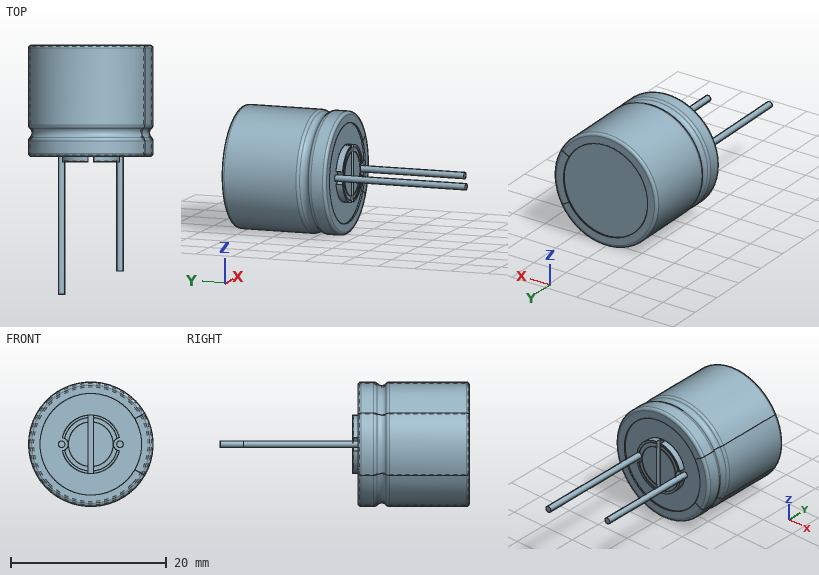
import cadquery as cq
import math


can_radius = 8.0
overall_height = 15.0
standoff_height = 0.7
sleeve_thickness = 0.2
edge_fillet = 0.4
sleeve_opening_radius = 6.53
front_y = standoff_height
back_y = overall_height

crimp_distance_from_front = 3.03
crimp_center_y = front_y + crimp_distance_from_front
crimp_half_width = 1.02
crimp_depth = 0.45
crimp_shoulder_share = 0.42
crimp_angle = 2 * math.atan(crimp_depth / crimp_half_width)
crimp_radii_sum = crimp_half_width / math.sin(crimp_angle)
crimp_shoulder_radius = crimp_shoulder_share * crimp_radii_sum

stripe_angle = 60.0

seal_y = front_y + sleeve_thickness
pad_radius = 3.75
pad_groove_outer_radius = 3.45
pad_groove_inner_radius = 2.87
pad_groove_depth = 0.1
slot_width = 0.7
slot_floor_y = front_y
notch_radius = 0.85

lead_pitch = 7.5
lead_diameter = 0.85
long_lead_tip_y = -17.0
short_lead_tip_y = -14.0


def cylinder(radius, y_start, y_end, x=0.0):
    """Cylinder along Y between two Y positions."""
    return (
        cq.Workplane("XZ", origin=(x, y_start, 0))
        .circle(radius)
        .extrude(y_start - y_end)
    )


def arc_point(center, radius, angle):
    """Point on a circle in the XY plane, with the angle in radians from +X."""
    return (center[0] + radius * math.cos(angle), center[1] + radius * math.sin(angle))


def can_profile(inset):
    """Closed half section of the crimped can, moved inwards from the outer skin by inset."""
    wall = can_radius - inset
    front = front_y + inset
    back = back_y - inset
    fillet = edge_fillet - inset
    shoulder = crimp_shoulder_radius - inset

    front_fillet_center = (wall - fillet, front + fillet)
    back_fillet_center = (wall - fillet, back - fillet)
    shoulder_x = can_radius - crimp_shoulder_radius
    front_shoulder_center = (shoulder_x, crimp_center_y - crimp_half_width)
    back_shoulder_center = (shoulder_x, crimp_center_y + crimp_half_width)
    crimp_bottom = (wall - crimp_depth, crimp_center_y)

    return (
        cq.Workplane("XY")
        .moveTo(0, front)
        .lineTo(wall - fillet, front)
        .threePointArc(arc_point(front_fillet_center, fillet, -math.pi / 4), (wall, front + fillet))
        .lineTo(wall, front_shoulder_center[1])
        .threePointArc(
            arc_point(front_shoulder_center, shoulder, crimp_angle / 2),
            arc_point(front_shoulder_center, shoulder, crimp_angle),
        )
        .threePointArc(crimp_bottom, arc_point(back_shoulder_center, shoulder, -crimp_angle))
        .threePointArc(
            arc_point(back_shoulder_center, shoulder, -crimp_angle / 2),
            (wall, back_shoulder_center[1]),
        )
        .lineTo(wall, back - fillet)
        .threePointArc(arc_point(back_fillet_center, fillet, math.pi / 4), (wall - fillet, back))
        .lineTo(0, back)
        .close()
    )


def revolved_can(inset):
    return can_profile(inset).revolve(360, (0, 0, 0), (0, 1, 0))


def stripe_sector():
    """Wedge around +X that spans the stripe angle and reaches past the can."""
    reach = 2 * can_radius
    half_angle = math.radians(stripe_angle / 2)
    half_height = reach * math.tan(half_angle)
    return (
        cq.Workplane("XZ", origin=(0, back_y, 0))
        .polyline([(0, 0), (reach, half_height), (reach, -half_height)])
        .close()
        .extrude(back_y - front_y)
    )


def sleeve_shell():
    """Full skin around the core, open in the middle of both ends."""
    opening = cylinder(sleeve_opening_radius, front_y, back_y)
    return revolved_can(0).cut(revolved_can(sleeve_thickness)).cut(opening)


def build_sleeve():
    return sleeve_shell().cut(stripe_sector())


def build_stripe():
    return sleeve_shell().intersect(stripe_sector())


def build_standoff():
    """Round pad with a ring groove, a slot along Z and a notch around each lead."""
    pad = cylinder(pad_radius, 0, seal_y)
    groove = cylinder(pad_groove_outer_radius, 0, pad_groove_depth).cut(
        cylinder(pad_groove_inner_radius, 0, pad_groove_depth)
    )
    slot = cq.Workplane("XY").box(
        slot_width, slot_floor_y, 2 * pad_radius, centered=(True, False, True)
    )
    pad = pad.cut(groove).cut(slot)
    for side in (-1, 1):
        pad = pad.cut(cylinder(notch_radius, 0, seal_y, side * lead_pitch / 2))
    return pad


def build_core():
    """Can and rubber seal in one piece, with the standoff on the seal face."""
    return revolved_can(sleeve_thickness).union(build_standoff())


def build_lead(side, tip_y):
    """Round wire that ends on the seal face."""
    return cylinder(lead_diameter / 2, tip_y, seal_y, side * lead_pitch / 2)


sleeve = build_sleeve()
stripe = build_stripe()
core = build_core()
leads = [build_lead(side, tip_y) for side, tip_y in ((-1, long_lead_tip_y), (1, short_lead_tip_y))]

result = cq.Compound.makeCompound(
    [sleeve.val(), stripe.val(), core.val(), *[lead.val() for lead in leads]]
)